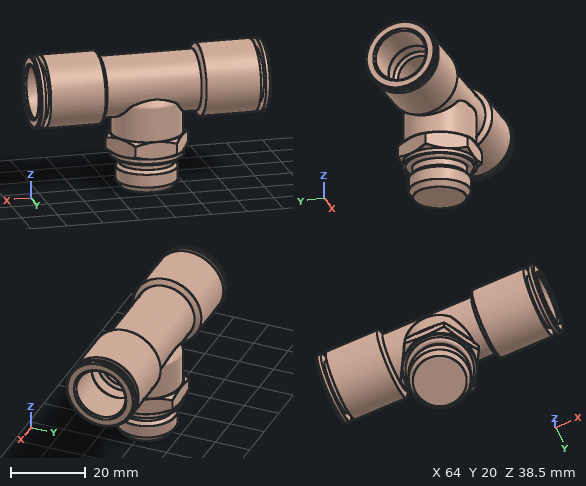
import cadquery as cq
import math


length = 64.0
outer_diameter = 20.0

tube_diameter = 16.8
through_bore_diameter = 12.0
hose_seat_diameter = 14.15
hose_seat_inner_x = 17.3
hose_stop_length = 0.65
socket_inner_x = 13.05
socket_shoulder_length = 0.95
boss_diameter = 19.6
boss_top_z = -2.2
boss_top_diameter = 16.1
boss_shoulder_z = -3.9
boss_round = 0.95

flange_thickness = 1.5
flange_gap = 1.4
flange_chamfer = 0.45
sleeve_diameter = 15.1
collar_mouth_diameter = 15.2
collar_bore_diameter = 14.3
mouth_chamfer_length = 0.5
collar_length = 10.9

hexagon_top_z = -13.6
hexagon_height = 4.8
hexagon_chamfer_angle = 30.0
stud_flange_height = 1.2
neck_diameter = 14.7
neck_bottom_z = -22.15
thread_diameter = 16.8
thread_tip_diameter = 14.45
thread_tip_length = 1.8
stud_bottom_z = -28.55

ring_outer_diameter = 18.4

half_length = length / 2
outer_radius = outer_diameter / 2
housing_end_x = half_length - flange_thickness - flange_gap
collar_inner_x = half_length - collar_length
hexagon_bottom_z = hexagon_top_z - hexagon_height
stud_flange_bottom_z = hexagon_bottom_z - stud_flange_height
ring_section_radius = (ring_outer_diameter - neck_diameter) / 4
ring_center_radius = (ring_outer_diameter + neck_diameter) / 4


def x_cylinder(diameter, x_start, x_end):
    """Cylinder about the X axis between two X positions."""
    return cq.Workplane("YZ", origin=(x_start, 0, 0)).circle(diameter / 2).extrude(x_end - x_start)


def revolve_about_x(points):
    """Solid of revolution about X from (x, radius) points."""
    return cq.Workplane("XY").polyline(points).close().revolve(360, (0, 0, 0), (1, 0, 0))


def revolve_about_z(points):
    """Solid of revolution about Z from (radius, z) points."""
    return cq.Workplane("XZ").polyline(points).close().revolve(360, (0, 0, 0), (0, 1, 0))


def mirror_to_left(body):
    return body.mirror("YZ")


def make_socket():
    """Thick right end of the housing, with a conical shoulder toward the tube."""
    return revolve_about_x([
        (socket_inner_x, 0),
        (socket_inner_x, tube_diameter / 2),
        (socket_inner_x + socket_shoulder_length, outer_radius),
        (housing_end_x, outer_radius),
        (housing_end_x, 0),
    ])


def make_boss():
    """Vertical branch with a conical, rounded top that runs into the tube."""
    boss = revolve_about_z([
        (0, hexagon_top_z),
        (boss_diameter / 2, hexagon_top_z),
        (boss_diameter / 2, boss_shoulder_z),
        (boss_top_diameter / 2, boss_top_z),
        (0, boss_top_z),
    ])
    selection_margin = 0.05
    shoulder_edge = cq.selectors.BoxSelector(
        (-boss_diameter, -boss_diameter, boss_shoulder_z - selection_margin),
        (boss_diameter, boss_diameter, boss_shoulder_z + selection_margin),
        boundingbox=True,
    )
    return boss.edges(shoulder_edge).fillet(boss_round)


def make_end_bore():
    """Right half of the passage: through bore, conical hose stop, hose seat, sleeve recess."""
    return revolve_about_x([
        (0, 0),
        (0, through_bore_diameter / 2),
        (hose_seat_inner_x - hose_stop_length, through_bore_diameter / 2),
        (hose_seat_inner_x, hose_seat_diameter / 2),
        (collar_inner_x, hose_seat_diameter / 2),
        (collar_inner_x, sleeve_diameter / 2),
        (housing_end_x, sleeve_diameter / 2),
        (housing_end_x, 0),
    ])


def make_housing():
    socket = make_socket()
    housing = x_cylinder(tube_diameter, -socket_inner_x, socket_inner_x)
    housing = housing.union(socket).union(mirror_to_left(socket)).union(make_boss())
    end_bore = make_end_bore()
    return housing.cut(end_bore).cut(mirror_to_left(end_bore))


def make_release_collar(side):
    """Flanged sleeve with a chamfered mouth; side is +1 for the right end, -1 for the left."""
    flange_inner_x = half_length - flange_thickness
    collar = revolve_about_x([
        (collar_inner_x, collar_bore_diameter / 2),
        (collar_inner_x, sleeve_diameter / 2),
        (flange_inner_x, sleeve_diameter / 2),
        (flange_inner_x, outer_radius),
        (half_length - flange_chamfer, outer_radius),
        (half_length, outer_radius - flange_chamfer),
        (half_length, collar_mouth_diameter / 2),
        (half_length - mouth_chamfer_length, collar_bore_diameter / 2),
    ])
    return collar if side > 0 else mirror_to_left(collar)


def make_sealing_ring():
    """Round-section ring on the neck, half sunk into the stud flange."""
    return (
        cq.Workplane("XZ")
        .center(ring_center_radius, stud_flange_bottom_z)
        .circle(ring_section_radius)
        .revolve(360, (-ring_center_radius, 0, 0), (-ring_center_radius, 1, 0))
    )


def make_hexagon():
    """Hexagon with two flats facing Y and both ends chamfered to the width across flats."""
    half_side_angle = math.pi / 6
    corner_diameter = outer_diameter / math.cos(half_side_angle)
    corner_radius = corner_diameter / 2
    chamfer_height = (corner_radius - outer_radius) * math.tan(math.radians(hexagon_chamfer_angle))
    prism = (
        cq.Workplane("XY", origin=(0, 0, hexagon_bottom_z))
        .polygon(6, corner_diameter)
        .extrude(hexagon_height)
    )
    chamfer_envelope = revolve_about_z([
        (0, hexagon_bottom_z),
        (outer_radius, hexagon_bottom_z),
        (corner_radius, hexagon_bottom_z + chamfer_height),
        (corner_radius, hexagon_top_z - chamfer_height),
        (outer_radius, hexagon_top_z),
        (0, hexagon_top_z),
    ])
    return prism.intersect(chamfer_envelope)


def make_stud(sealing_ring):
    neck_radius = neck_diameter / 2
    thread_radius = thread_diameter / 2
    thread_top_z = neck_bottom_z - (thread_radius - neck_radius)
    shank = revolve_about_z([
        (0, hexagon_bottom_z),
        (outer_radius, hexagon_bottom_z),
        (outer_radius, stud_flange_bottom_z),
        (neck_radius, stud_flange_bottom_z),
        (neck_radius, neck_bottom_z),
        (thread_radius, thread_top_z),
        (thread_radius, stud_bottom_z + thread_tip_length),
        (thread_tip_diameter / 2, stud_bottom_z),
        (0, stud_bottom_z),
    ])
    return make_hexagon().union(shank).cut(sealing_ring)


housing = make_housing()
release_collars = [make_release_collar(side) for side in (-1, 1)]
sealing_ring = make_sealing_ring()
stud = make_stud(sealing_ring)

result = cq.Compound.makeCompound([
    housing.solids().val(),
    *[collar.val() for collar in release_collars],
    stud.solids().val(),
    sealing_ring.val(),
])